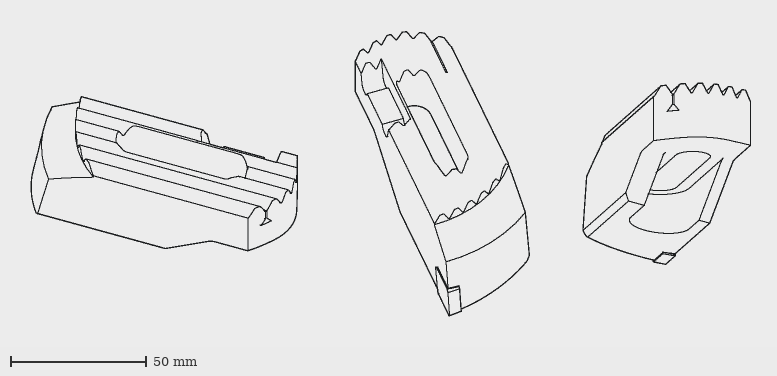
import cadquery as cq
import math

TOP_Z = 37.4
BODY_WIDTH = 36.0
END_X = 107.0

NOSE_AXIS_X = 62.4
NOSE_TOP_RADIUS = 44.9
NOSE_SHOULDER_Z = 33.0
NOSE_EDGE_Z = 25.6
NOSE_SLOPE_RUN = 12.5
NOSE_RAKE_ANGLE = 10
NOSE_EDGE_FILLET = 0.9

END_FRONT_X = 96.6
END_FRONT_RADIUS = 56.7
END_TIP_Y = 19.8
END_TIP_RADIUS = 19.3
END_LOWER_ANGLE = 33.6
END_UPPER_ANGLE = 20

SHELF_Z = 16.6
RAMP_TOP_X = 82.2
RAMP_ANGLE = 30
RAMP_FILLET = 5.3
SOLE_ANGLE = 6
SIDE_CHAMFER_WIDTH = 2.2
SIDE_CHAMFER_TOP_Z = 6.0
SOLE_FRONT_Z = 4.0

TOOTH_COUNT = 6
TOOTH_PITCH = BODY_WIDTH / TOOTH_COUNT
TOOTH_FLANK_ANGLE = 62.5
TOOTH_CREST_WIDTH = 1.6
TOOTH_FILLET = 0.37

SLOT_START_X = 36.8
SLOT_LENGTH = 51.7
SLOT_RADIUS = 6.5
SLOT_Y = 20.1
HEAD_RADIUS = 11.3

POCKET_CENTER_X = 81.2
POCKET_TOP_LENGTH = 31.2
POCKET_FRONT_Y = 27.6
POCKET_DEPTH = 8.0
POCKET_WALL_ANGLE = 13
POCKET_GROOVE_RADIUS = 2.9
POCKET_GROOVE_RISE = 0.3

INSERT_THICKNESS = 4.8
INSERT_BACK_Y = 36.4
INSERT_RELIEF_ANGLE = 5
INSERT_TOP_Z = 12.9
INSERT_LEAN = 1.7
INSERT_RIGHT_X = 15.0
INSERT_RIGHT_LEAN = 2.2
INSERT_TOP_BEVEL = 1.1
INSERT_BOTTOM_BEVEL = 0.6

KEY_START_X = 85.6
KEY_TOP_Z = 33.4
KEY_NECK_WIDTH = 0.5
KEY_NECK_Z = 29.7
KEY_BASE_WIDTH = 3.6
KEY_BASE_Z = 27.3


def tangent(degrees):
    return math.tan(math.radians(degrees))


def box_between(low, high):
    size = [high[i] - low[i] for i in range(3)]
    return cq.Workplane("XY").box(*size, centered=False).translate(low)


def make_nose():
    """Left part: stacked cylinder and two cones, kept on the left of their axis."""
    edge_radius = NOSE_TOP_RADIUS + NOSE_SLOPE_RUN
    bottom_radius = edge_radius + NOSE_EDGE_Z * tangent(NOSE_RAKE_ANGLE)
    turned = (
        cq.Workplane("XZ")
        .polyline([
            (0, 0),
            (bottom_radius, 0),
            (edge_radius, NOSE_EDGE_Z),
            (NOSE_TOP_RADIUS, NOSE_SHOULDER_Z),
            (NOSE_TOP_RADIUS, TOP_Z),
            (0, TOP_Z),
        ])
        .close()
        .revolve(360, (0, 0), (0, 1))
        .translate((NOSE_AXIS_X, BODY_WIDTH, 0))
    )
    left_half = box_between((0, 0, 0), (NOSE_AXIS_X, BODY_WIDTH, TOP_Z))
    return turned.intersect(left_half)


def end_arc_point(degrees):
    """Point of the tip arc, at an angle above the +X direction."""
    center_x = END_X - END_TIP_RADIUS
    angle = math.radians(degrees)
    return (center_x + END_TIP_RADIUS * math.cos(angle), END_TIP_Y + END_TIP_RADIUS * math.sin(angle))


def make_shank():
    """Right part: a plate whose end is a shallow arc, a tip arc and a straight run to the back."""
    lower = end_arc_point(-END_LOWER_ANGLE)
    upper = end_arc_point(END_UPPER_ANGLE)
    back_x = upper[0] - (BODY_WIDTH - upper[1]) * tangent(END_UPPER_ANGLE)
    return (
        cq.Workplane("XY")
        .moveTo(NOSE_AXIS_X, 0)
        .lineTo(END_FRONT_X, 0)
        .radiusArc(lower, -END_FRONT_RADIUS)
        .threePointArc(end_arc_point(0), upper)
        .lineTo(back_x, BODY_WIDTH)
        .lineTo(NOSE_AXIS_X, BODY_WIDTH)
        .close()
        .extrude(TOP_Z)
    )


def cut_teeth(body):
    """V grooves along X with rounded roots, then rounded crests."""
    half_width = (TOOTH_PITCH - TOOTH_CREST_WIDTH) / 2
    depth = half_width * tangent(TOOTH_FLANK_ANGLE)
    groove = (
        cq.Workplane("YZ")
        .polyline([(-half_width, TOP_Z), (0, TOP_Z - depth), (half_width, TOP_Z)])
        .close()
        .extrude(END_X)
        .edges("<Z")
        .fillet(TOOTH_FILLET)
    )
    for i in range(TOOTH_COUNT + 1):
        body = body.cut(groove.translate((0, i * TOOTH_PITCH, 0)))
    return body.faces(">Z").edges("|X").fillet(TOOTH_FILLET)


def cut_underside(body):
    """Sloping sole with a chamfer along the front, and a ramp up to the thin shank."""
    sole_back_z = SOLE_FRONT_Z - (BODY_WIDTH - SIDE_CHAMFER_WIDTH) * tangent(SOLE_ANGLE)
    below_sole = (
        cq.Workplane("YZ")
        .polyline([
            (0, SIDE_CHAMFER_TOP_Z),
            (SIDE_CHAMFER_WIDTH, SOLE_FRONT_Z),
            (BODY_WIDTH, sole_back_z),
            (BODY_WIDTH, 0),
            (0, 0),
        ])
        .close()
        .extrude(END_X)
    )
    ramp_start_x = RAMP_TOP_X - SHELF_Z / tangent(RAMP_ANGLE)
    below_shelf = (
        cq.Workplane("XZ")
        .polyline([(ramp_start_x, 0), (RAMP_TOP_X, SHELF_Z), (END_X, SHELF_Z), (END_X, 0)])
        .close()
        .extrude(-BODY_WIDTH)
        .edges(cq.NearestToPointSelector((RAMP_TOP_X, BODY_WIDTH / 2, SHELF_Z)))
        .fillet(RAMP_FILLET)
    )
    body = body.cut(below_sole)
    nose_edge_region = cq.selectors.BoxSelector((0, 0, 0), (SLOT_START_X / 2, BODY_WIDTH, SOLE_FRONT_Z))
    body = body.edges(nose_edge_region).fillet(NOSE_EDGE_FILLET)
    return body.cut(below_shelf)


def make_slot(radius, height):
    """Straight slot with round ends, centred on the bolt slot, from Z = 0 up to the given height."""
    spacing = SLOT_LENGTH - 2 * SLOT_RADIUS
    return (
        cq.Workplane("XY")
        .center(SLOT_START_X + SLOT_LENGTH / 2, SLOT_Y)
        .slot2D(spacing + 2 * radius, 2 * radius)
        .extrude(height)
    )


def make_pocket():
    """Pocket with sloping end walls, each running into a round groove beside the floor."""
    floor_z = TOP_Z - POCKET_DEPTH
    length = BODY_WIDTH - POCKET_FRONT_Y
    wall_angle = math.radians(POCKET_WALL_ANGLE)
    groove_z = floor_z + POCKET_GROOVE_RISE
    touch_z = groove_z - POCKET_GROOVE_RADIUS * math.sin(wall_angle)
    touch_half = POCKET_TOP_LENGTH / 2 - (TOP_Z - touch_z) * math.tan(wall_angle)
    groove_half = touch_half - POCKET_GROOVE_RADIUS * math.cos(wall_angle)
    groove_bottom_z = groove_z - POCKET_GROOVE_RADIUS
    floor_half = groove_half - math.sqrt(POCKET_GROOVE_RADIUS**2 - POCKET_GROOVE_RISE**2)
    return (
        cq.Workplane("XZ")
        .moveTo(-POCKET_TOP_LENGTH / 2, TOP_Z)
        .lineTo(-touch_half, touch_z)
        .threePointArc((-groove_half, groove_bottom_z), (-floor_half, floor_z))
        .lineTo(floor_half, floor_z)
        .threePointArc((groove_half, groove_bottom_z), (touch_half, touch_z))
        .lineTo(POCKET_TOP_LENGTH / 2, TOP_Z)
        .close()
        .extrude(-length)
        .translate((POCKET_CENTER_X, POCKET_FRONT_Y, 0))
    )


def make_insert():
    """Leaning plate with bevelled corners, narrowing towards its front face."""
    bevel_top_z = INSERT_TOP_Z - INSERT_TOP_BEVEL
    bottom_right_x = INSERT_RIGHT_X - INSERT_RIGHT_LEAN
    return (
        cq.Workplane("XZ", origin=(0, INSERT_BACK_Y, 0))
        .polyline([
            (0, INSERT_BOTTOM_BEVEL),
            (INSERT_LEAN, bevel_top_z),
            (INSERT_LEAN + INSERT_TOP_BEVEL, INSERT_TOP_Z),
            (INSERT_RIGHT_X - INSERT_TOP_BEVEL, INSERT_TOP_Z),
            (INSERT_RIGHT_X, bevel_top_z),
            (bottom_right_x, INSERT_BOTTOM_BEVEL),
            (bottom_right_x - INSERT_BOTTOM_BEVEL, 0),
            (INSERT_BOTTOM_BEVEL, 0),
        ])
        .close()
        .extrude(INSERT_THICKNESS, taper=INSERT_RELIEF_ANGLE)
    )


def make_key_blank():
    """Narrow neck that widens to a triangular foot, running out past the end of the shank."""
    neck = KEY_NECK_WIDTH / 2
    base = KEY_BASE_WIDTH / 2
    return (
        cq.Workplane("YZ", origin=(KEY_START_X, TOOTH_PITCH, 0))
        .polyline([
            (-neck, KEY_TOP_Z),
            (-neck, KEY_NECK_Z),
            (-base, KEY_BASE_Z),
            (base, KEY_BASE_Z),
            (neck, KEY_NECK_Z),
            (neck, KEY_TOP_Z),
        ])
        .close()
        .extrude(END_X - KEY_START_X)
    )


def make_body():
    body = make_nose().union(make_shank()).clean()
    body = cut_teeth(body)
    body = cut_underside(body)
    body = body.cut(make_slot(SLOT_RADIUS, TOP_Z))
    body = body.cut(make_slot(HEAD_RADIUS, SHELF_Z))
    return body.cut(make_pocket())


solid_body = make_body()
insert = make_insert()
key = make_key_blank().intersect(solid_body)
holder = solid_body.cut(insert).cut(key)

result = cq.Compound.makeCompound([holder.val(), insert.val(), key.val()])